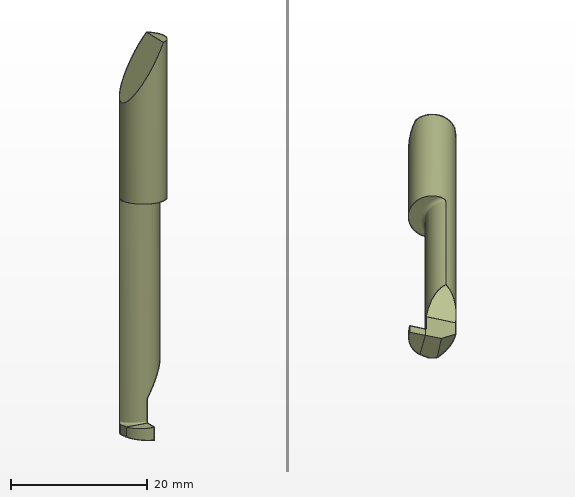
import cadquery as cq
import math

length = 60.5
radius = 3.5
slant_angle = 30.0
top_flat_y = 1.9
neck_apex_x = 0.95
neck_top = 36.25
upper_fillet = 0.6
lower_fillet = 0.25
rake_y = 0.25
rake_top = 5.7
bevel_top = 2.35
bevel_angle = 45.0
seat_x = 1.1
head_top = 2.0
relief_angle = 3.0
side_tilt = 2.0
heel_x = -0.35
seat_y = -3.2
tip_x = 3.45
flank_mid = 2.4

neck_center_x = neck_apex_x - radius
relief_slope = math.tan(math.radians(relief_angle))
slant_slope = 1 / math.tan(math.radians(slant_angle))
heel_y = -math.sqrt(radius**2 - heel_x**2)
oversize = 2 * radius


def prism_along_x(points):
    """Extrude a YZ outline across the whole width of the bar."""
    return cq.Workplane("YZ").polyline(points).close().extrude(oversize, both=True)


def neck_relief():
    """Cutter that leaves a lens-shaped neck with filleted ends."""
    cutter = prism_along_x([
        (-oversize, head_top - (oversize + rake_y) * relief_slope),
        (oversize, head_top + (oversize - rake_y) * relief_slope),
        (oversize, neck_top),
        (-oversize, neck_top),
    ])
    core = cq.Workplane("XY").center(neck_center_x, 0).circle(radius).extrude(length)
    keep_side = cq.Workplane("XY").box(2 * oversize, 4 * oversize, 3 * length)
    keep_side = keep_side.translate((neck_center_x - oversize, 0, 0))
    cutter = cutter.cut(keep_side).cut(core)
    cutter = cutter.faces("%CYLINDER").edges(">Z").fillet(upper_fillet)
    return cutter.faces("%CYLINDER").edges("<Z").fillet(lower_fillet)


def top_slant():
    """Cutter for the slanted upper end, facing -Y."""
    run = oversize + top_flat_y
    return prism_along_x([
        (top_flat_y, length),
        (-oversize, length - run * slant_slope),
        (-oversize, length),
    ])


def rake_cut():
    """Cutter for the rake face and its slanted run-out at the back."""
    return prism_along_x([
        (rake_y, -oversize),
        (rake_y, rake_top),
        (oversize, rake_top + (oversize - rake_y) * slant_slope),
        (oversize, -oversize),
    ])


def corner_bevel():
    """Cutter for the bevel on the lower -X corner."""
    drop = 2 * radius * math.tan(math.radians(bevel_angle))
    outline = [(-radius, bevel_top), (radius, bevel_top - drop), (-radius, bevel_top - drop)]
    return cq.Workplane("XZ").polyline(outline).close().extrude(oversize, both=True)


def end_relief():
    """Cutter for the lower face of both bodies, lowest at the cutting tip on the rake face."""
    block = cq.Workplane("XY").box(4 * oversize, 4 * oversize, oversize)
    block = block.translate((0, 0, -oversize / 2))
    block = block.rotate((0, 0, 0), (1, 0, 0), -relief_angle)
    block = block.rotate((0, 0, 0), (0, 1, 0), side_tilt)
    return block.translate((tip_x, rake_y, 0))


def head_top_relief():
    """Cutter for the head's upper face, falling away from the rake face."""
    drop = (oversize + rake_y) * relief_slope
    return prism_along_x([(rake_y, head_top), (-oversize, head_top), (-oversize, head_top - drop)])


def heel_flat():
    """Cutter for the flat heel between the round bar and the insert seat."""
    return (
        cq.Workplane("XY")
        .polyline([(heel_x, heel_y), (seat_x, seat_y), (seat_x, -oversize), (heel_x, -oversize)])
        .close()
        .extrude(head_top)
    )


def insert_space():
    """Cutter that ends the holder at the insert seat."""
    space = cq.Workplane("XY").box(oversize, 2 * oversize, rake_top, centered=(False, True, False))
    return space.translate((seat_x, 0, 0))


def make_holder():
    bar = cq.Workplane("XY").circle(radius).extrude(length)
    cutters = [
        top_slant(),
        neck_relief(),
        rake_cut(),
        corner_bevel(),
        end_relief(),
        heel_flat(),
        insert_space(),
    ]
    for cutter in cutters:
        bar = bar.cut(cutter)
    return bar


def make_insert():
    """Cutting insert with a round flank, ending in a tip at the rake face."""
    plan = (
        cq.Workplane("XY")
        .moveTo(seat_x, rake_y)
        .lineTo(seat_x, seat_y)
        .threePointArc((flank_mid, -flank_mid), (tip_x, rake_y))
        .close()
        .extrude(head_top)
    )
    return plan.cut(head_top_relief()).cut(end_relief())


holder = make_holder()
insert = make_insert()

result = cq.Compound.makeCompound([holder.val(), insert.val()])